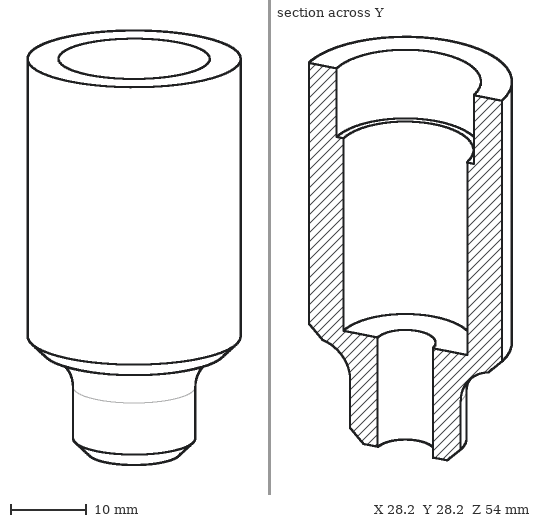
import cadquery as cq
import math

total_height = 54
body_radius = 28.2 / 2
neck_radius = 16.2 / 2
edge_chamfer = 2.0
body_bottom = 16.0
shoulder_bottom = body_bottom - edge_chamfer
shoulder_radius = body_radius - edge_chamfer
neck_fillet = 5.0

fillet_center_radius = neck_radius + neck_fillet
fillet_rise = math.sqrt(neck_fillet**2 - (fillet_center_radius - shoulder_radius) ** 2)
neck_top = shoulder_bottom - fillet_rise

mouth_radius = 20 / 2
mouth_depth = 10.0
socket_radius = 18.0 / 2
socket_floor = body_bottom
through_radius = 8.0 / 2


def outer_body():
    half_angle = math.asin(fillet_rise / neck_fillet) / 2
    fillet_middle = (
        fillet_center_radius - neck_fillet * math.cos(half_angle),
        neck_top + neck_fillet * math.sin(half_angle),
    )
    profile = (
        cq.Workplane("XZ")
        .lineTo(neck_radius - edge_chamfer, 0)
        .lineTo(neck_radius, edge_chamfer)
        .lineTo(neck_radius, neck_top)
        .threePointArc(fillet_middle, (shoulder_radius, shoulder_bottom))
        .lineTo(body_radius, body_bottom)
        .lineTo(body_radius, total_height)
        .lineTo(0, total_height)
        .close()
    )
    return profile.revolve(360, (0, 0, 0), (0, 1, 0))


def bore(radius, bottom):
    """Cylinder reaching from the given height up to the top face."""
    return cq.Workplane("XY", origin=(0, 0, bottom)).circle(radius).extrude(total_height - bottom)


result = (
    outer_body()
    .cut(bore(mouth_radius, total_height - mouth_depth))
    .cut(bore(socket_radius, socket_floor))
    .cut(bore(through_radius, 0))
)